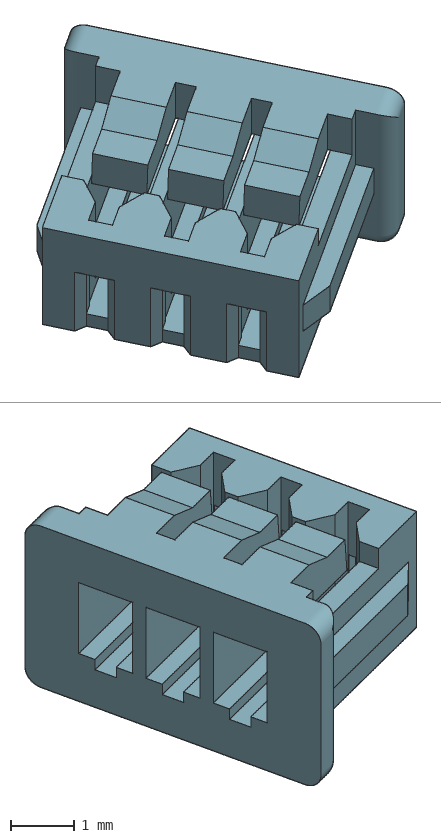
import cadquery as cq


FLANGE_WIDTH = 5.5
FLANGE_THICKNESS = 0.6
HEIGHT = 3.2
ROUNDING = 0.3

LENGTH = 3.95
BODY_WIDTH = 4.22
BODY_BOTTOM = 0.45
NOSE_TOP = 2.75
NOSE_LENGTH = 1.15
LEDGE_TOP = 2.355
SHOULDER_END = 0.8

RIB_SPAN = 4.82
RIB_BOTTOM = 1.29
RIB_TOP = 1.905
RIB_TAPER_START = 3.19
RIB_END = 3.705

CATCH_WIDTH = 0.92
CATCH_HEIGHT = 0.25
CATCH_REAR = 1.44
CATCH_PEAK = 1.09
CATCH_FRONT = 0.39

PITCH = 1.25
CONTACTS = 3

CAVITY_WIDTH = 1.0
CAVITY_FLOOR = 0.95
GROOVE_WIDTH = 0.395
GROOVE_FLOOR = 0.745
FUNNEL_LENGTH = 0.4
FRONT_WALL = 0.35

WINDOW_WIDTH = 0.355
WINDOW_TOP = 1.7
WINDOW_CHAMFER = 0.15

LATCH_WIDTH = 0.91
LATCH_SLOPE_START = 1.345
LATCH_SLOPE_END = 1.895
LATCH_TIP_TOP = 3.0
LATCH_TIP = 2.435
LATCH_TOE = 2.495

FRONT_Y = -LENGTH
NOSE_REAR = LENGTH - NOSE_LENGTH
CONTACT_XS = [(i - (CONTACTS - 1) / 2) * PITCH for i in range(CONTACTS)]


def block(x_center, width, y_rear, y_front, z_low, z_high):
    """Box centred on x_center, spanning the given y and z limits."""
    size = (width, y_rear - y_front, z_high - z_low)
    corner = (x_center - width / 2, y_front, z_low)
    return cq.Workplane("XY").box(*size, centered=False).translate(corner)


def side_profile(points, x_center, width):
    """Extrude a (y, z) outline symmetrically about x_center."""
    sketch = cq.Workplane("YZ", origin=(x_center, 0, 0)).polyline(points).close()
    return sketch.extrude(width / 2, both=True)


def flange():
    """Plate rounded at its front rim and corners; its top edge stays sharp at the front."""
    plate = block(0, FLANGE_WIDTH, 0, -FLANGE_THICKNESS, 0, HEIGHT)
    rounded_rim = plate.edges("(<Y and |Z) or (<Y and <Z) or (<Z and |Y)").fillet(ROUNDING)
    rounded_top_corners = plate.edges("|Y and >Z").fillet(ROUNDING)
    return rounded_rim.intersect(rounded_top_corners)


def body():
    """Main block, with its top lowered to a ledge between the shoulder and the nose."""
    outline = [
        (0, BODY_BOTTOM),
        (0, HEIGHT),
        (-SHOULDER_END, HEIGHT),
        (-SHOULDER_END, LEDGE_TOP),
        (-NOSE_REAR, LEDGE_TOP),
        (-NOSE_REAR, NOSE_TOP),
        (FRONT_Y, NOSE_TOP),
        (FRONT_Y, BODY_BOTTOM),
    ]
    return side_profile(outline, 0, BODY_WIDTH)


def side_ribs():
    """Bar through the body whose ends form the two side ribs, tapered at the front."""
    half_span = RIB_SPAN / 2
    half_body = BODY_WIDTH / 2
    outline = [
        (-half_span, -FLANGE_THICKNESS),
        (half_span, -FLANGE_THICKNESS),
        (half_span, -RIB_TAPER_START),
        (half_body, -RIB_END),
        (-half_body, -RIB_END),
        (-half_span, -RIB_TAPER_START),
    ]
    plane = cq.Workplane("XY", origin=(0, 0, RIB_BOTTOM))
    return plane.polyline(outline).close().extrude(RIB_TOP - RIB_BOTTOM)


def catch():
    """Triangular catch under the nose."""
    outline = [
        (FRONT_Y + CATCH_FRONT, BODY_BOTTOM),
        (FRONT_Y + CATCH_PEAK, BODY_BOTTOM - CATCH_HEIGHT),
        (FRONT_Y + CATCH_REAR, BODY_BOTTOM),
    ]
    return side_profile(outline, 0, CATCH_WIDTH)


def cavity(x):
    """Wide wire chamber that funnels into a narrow contact groove, open above the ledge."""
    half_cavity = CAVITY_WIDTH / 2
    half_groove = GROOVE_WIDTH / 2
    funnel_front = -NOSE_REAR - FUNNEL_LENGTH
    groove_front = FRONT_Y + FRONT_WALL
    funnel_plan = [
        (x - half_cavity, -NOSE_REAR),
        (x + half_cavity, -NOSE_REAR),
        (x + half_groove, funnel_front),
        (x - half_groove, funnel_front),
    ]
    plane = cq.Workplane("XY", origin=(0, 0, CAVITY_FLOOR))
    funnel = plane.polyline(funnel_plan).close().extrude(NOSE_TOP - CAVITY_FLOOR)
    chamber = block(x, CAVITY_WIDTH, 0, -NOSE_REAR, CAVITY_FLOOR, LEDGE_TOP)
    groove = block(x, GROOVE_WIDTH, 0, groove_front, GROOVE_FLOOR, LEDGE_TOP)
    nose_slot = block(x, GROOVE_WIDTH, -NOSE_REAR, groove_front, LEDGE_TOP, NOSE_TOP)
    return chamber.union(funnel).union(groove).union(nose_slot)


def latch(x):
    """Cantilevered beam reaching forward from the shoulder over the cavity."""
    outline = [
        (-SHOULDER_END, LEDGE_TOP),
        (-SHOULDER_END, HEIGHT),
        (-LATCH_SLOPE_START, HEIGHT),
        (-LATCH_SLOPE_END, LATCH_TIP_TOP),
        (-LATCH_TIP, LATCH_TIP_TOP),
        (-LATCH_TOE, LEDGE_TOP),
    ]
    return side_profile(outline, x, LATCH_WIDTH)


def window(x):
    """Opening through the front wall with a flared mouth that runs out at the bottom."""
    opening = block(x, WINDOW_WIDTH, FRONT_Y + FRONT_WALL, FRONT_Y, GROOVE_FLOOR, WINDOW_TOP)
    half_window = WINDOW_WIDTH / 2
    half_mouth = half_window + WINDOW_CHAMFER
    mouth_plan = [
        (x - half_mouth, FRONT_Y),
        (x + half_mouth, FRONT_Y),
        (x + half_window, FRONT_Y + WINDOW_CHAMFER),
        (x - half_window, FRONT_Y + WINDOW_CHAMFER),
    ]
    mouth_top = WINDOW_TOP + WINDOW_CHAMFER
    plane = cq.Workplane("XY", origin=(0, 0, BODY_BOTTOM))
    flared_sides = plane.polyline(mouth_plan).close().extrude(mouth_top - BODY_BOTTOM)
    mouth_section = [
        (FRONT_Y, BODY_BOTTOM),
        (FRONT_Y, mouth_top),
        (FRONT_Y + WINDOW_CHAMFER, WINDOW_TOP),
        (FRONT_Y + WINDOW_CHAMFER, BODY_BOTTOM),
    ]
    flared_top = side_profile(mouth_section, x, 2 * half_mouth)
    return opening.union(flared_sides.intersect(flared_top))


result = flange().union(body()).union(side_ribs()).union(catch())
for contact_x in CONTACT_XS:
    result = result.cut(cavity(contact_x)).cut(window(contact_x))
for contact_x in CONTACT_XS:
    result = result.union(latch(contact_x))